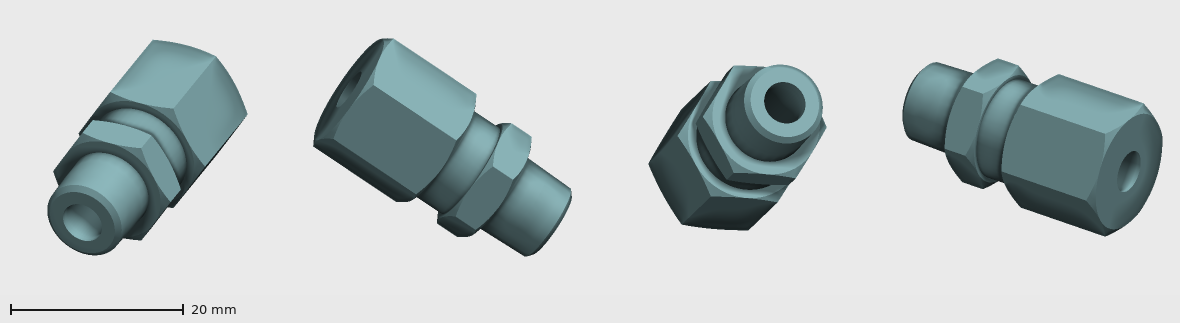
import cadquery as cq
import math

total_length = 28.7
nut_length = 13.0
nut_width = 14.0
collar_length = 4.2
collar_diameter = 12.0
body_hex_length = 4.02
body_hex_width = 13.0
bore_diameter = 5.0
hex_chamfer_angle = 30.0

spigot_root_diameter = 9.93
spigot_middle_diameter = 9.73
spigot_tip_diameter = 9.53
tip_section_length = 4.0
tip_face_diameter = 8.27
tip_chamfer_length = 0.55

spigot_length = total_length - nut_length - collar_length - body_hex_length
body_hex_end = spigot_length + body_hex_length
nut_start = body_hex_end + collar_length


def revolve_profile(points):
    """Revolve a closed (radius, y) outline around the Y axis."""
    return cq.Workplane("XY").polyline(points).close().revolve(360, (0, 0, 0), (0, 1, 0))


def chamfered_hex(width, length, start):
    """Hexagon along Y with corners on X and conical chamfers from its flats at both ends."""
    flat_radius = width / 2
    corner_radius = flat_radius / math.cos(math.radians(30))
    corner_drop = (corner_radius - flat_radius) * math.tan(math.radians(hex_chamfer_angle))
    end = start + length
    prism = (
        cq.Workplane("XZ", origin=(0, start, 0))
        .polygon(6, 2 * corner_radius)
        .extrude(-length)
    )
    envelope = revolve_profile([
        (0, start),
        (flat_radius, start),
        (corner_radius, start + corner_drop),
        (corner_radius, end - corner_drop),
        (flat_radius, end),
        (0, end),
    ])
    return prism.intersect(envelope)


def cylinder(diameter, start, length):
    return cq.Workplane("XZ", origin=(0, start, 0)).circle(diameter / 2).extrude(-length)


def tapered_spigot():
    """Two-stage tapered spigot with a chamfered tip."""
    return revolve_profile([
        (0, 0),
        (tip_face_diameter / 2, 0),
        (spigot_tip_diameter / 2, tip_chamfer_length),
        (spigot_middle_diameter / 2, tip_section_length),
        (spigot_root_diameter / 2, spigot_length),
        (0, spigot_length),
    ])


nut = chamfered_hex(nut_width, nut_length, nut_start)
collar = cylinder(collar_diameter, body_hex_end, collar_length)
body_hex = chamfered_hex(body_hex_width, body_hex_length, spigot_length)
bore = cylinder(bore_diameter, 0, total_length)

fitting = tapered_spigot().union(body_hex).union(collar).union(nut).cut(bore)
result = fitting.translate((0, -total_length / 2, 0))